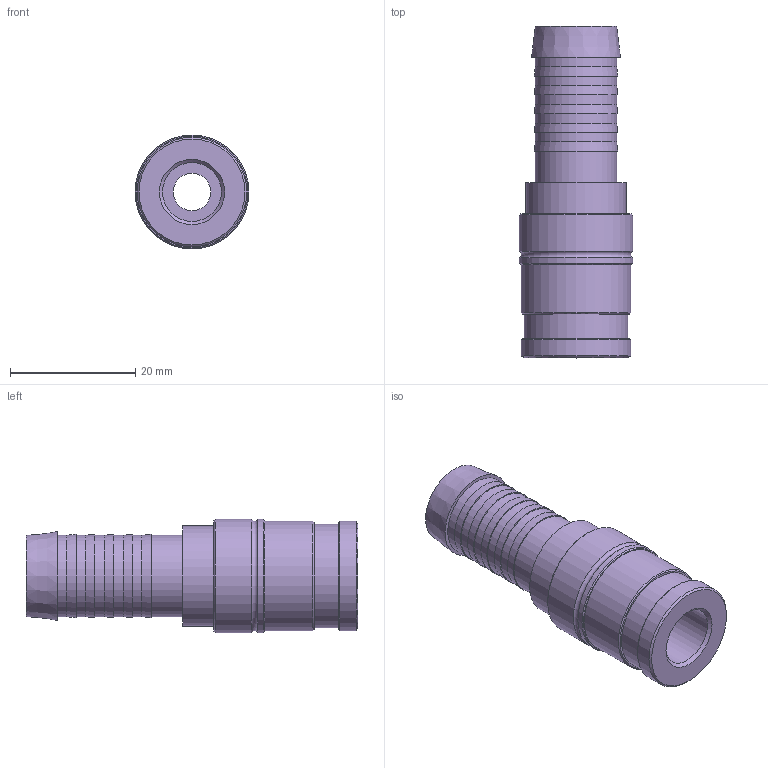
import cadquery as cq


length = 53.0
rim_width = 3.05
neck_end = 7.0
flange_start = 14.9
flange_groove_start = 16.0
flange_groove_end = 17.0
flange_end = 23.0
collar_end = 28.0
tip_start = 48.0

body_radius = 8.75
neck_radius = 8.25
flange_radius = 9.1
flange_groove_depth = 0.35
collar_radius = 8.0
tube_radius = 6.5
tip_radius = 7.1

barb_count = 5
barb_pitch = 3.0
barb_length = 1.5
barb_height = 0.15
first_barb = 33.0

hose_bore_radius = 3.0
plug_bore_radius = 4.7
plug_bore_depth = flange_end
mouth_chamfer = 0.5

edge_chamfer = 0.18
rim_chamfer = 0.3


def revolve_about_y(profile):
    return profile.close().revolve(360, (0, 0, 0), (0, 1, 0))


def cylinder(start, end, radius, start_chamfer=0.0, end_chamfer=0.0):
    """Solid disc on the Y axis with optional 45 degree edge breaks."""
    profile = cq.Workplane("XY").moveTo(0, start).lineTo(radius - start_chamfer, start)
    if start_chamfer:
        profile = profile.lineTo(radius, start + start_chamfer)
    profile = profile.lineTo(radius, end - end_chamfer)
    if end_chamfer:
        profile = profile.lineTo(radius - end_chamfer, end)
    return revolve_about_y(profile.lineTo(0, end))


def plug_body():
    """Rim, retaining neck and straight body of the plug end."""
    rim = cylinder(0, rim_width, body_radius, rim_chamfer, edge_chamfer)
    neck = cylinder(rim_width, neck_end, neck_radius)
    barrel = cylinder(neck_end, flange_start, body_radius, edge_chamfer)
    return rim.union(neck).union(barrel)


def flange():
    """Largest diameter, with a round-bottomed groove around it near the plug side."""
    disc = cylinder(flange_start, flange_end, flange_radius, edge_chamfer, edge_chamfer)
    groove = (
        cq.Workplane("XY")
        .moveTo(flange_radius, flange_groove_start)
        .threePointArc(
            (flange_radius - flange_groove_depth, (flange_groove_start + flange_groove_end) / 2),
            (flange_radius, flange_groove_end),
        )
    )
    return disc.cut(revolve_about_y(groove))


def hose_barb(start):
    profile = (
        cq.Workplane("XY")
        .moveTo(0, start)
        .lineTo(tube_radius + barb_height, start)
        .lineTo(tube_radius, start + barb_length)
        .lineTo(0, start + barb_length)
    )
    return revolve_about_y(profile)


def hose_tip():
    """Conical lead-in that narrows to the tube radius at the hose end."""
    profile = (
        cq.Workplane("XY")
        .moveTo(0, tip_start)
        .lineTo(tip_radius, tip_start)
        .lineTo(tube_radius, length)
        .lineTo(0, length)
    )
    return revolve_about_y(profile)


def hose_tail():
    tail = cylinder(flange_end, collar_end, collar_radius)
    tail = tail.union(cylinder(collar_end, tip_start, tube_radius))
    for index in range(barb_count):
        tail = tail.union(hose_barb(first_barb + index * barb_pitch))
    return tail.union(hose_tip())


def bores():
    """Through bore, wider plug bore and the chamfer at its mouth."""
    mouth_radius = plug_bore_radius + mouth_chamfer
    profile = (
        cq.Workplane("XY")
        .lineTo(mouth_radius, 0)
        .lineTo(plug_bore_radius, mouth_chamfer)
        .lineTo(plug_bore_radius, plug_bore_depth)
        .lineTo(hose_bore_radius, plug_bore_depth)
        .lineTo(hose_bore_radius, length)
        .lineTo(0, length)
    )
    return revolve_about_y(profile)


result = plug_body().union(flange()).union(hose_tail()).cut(bores())